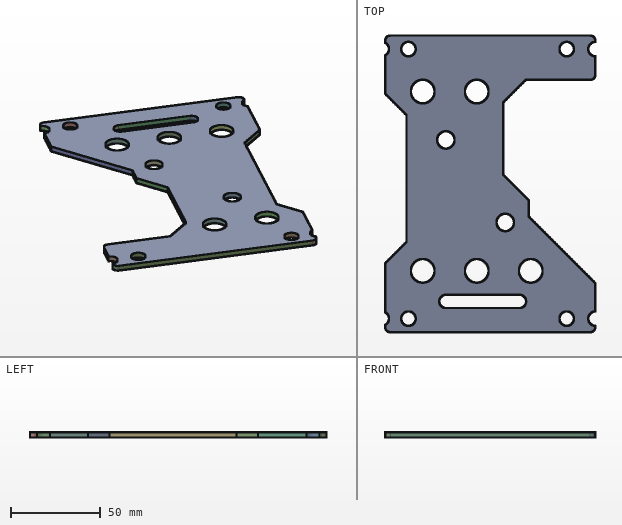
import cadquery as cq

width = 117.0
height = 165.0
thickness = 3.1
corner_radius = 3.0

waist_depth = 11.9
waist_bottom = 38.3
waist_top = 132.7

arm_bottom = 140.2
web_right = 65.8
arm_slope = 12.4
web_bottom = 87.5
step_right = 80.0
foot_right_top = 27.2

mount_diameter = 8.0
mount_left = 13.0
mount_pitch = 88.0
mount_inset = 7.6
left_notch_x = -1.8
right_notch_x = width

large_diameter = 13.0
large_left = 21.0
large_pitch = 30.0
large_lower_y = 34.2
large_upper_y = 133.8
lower_count = 3
upper_count = 2

medium_diameter = 9.5
medium_centers = [(33.8, 107.0), (66.8, 61.0)]

slot_length = 48.2
slot_height = 7.3
slot_center = (54.3, 17.2)


def prism(sketch):
    """Extrude a closed sketch through the plate thickness."""
    return sketch.extrude(thickness)


def cylinders(centers, diameter):
    """Through-cutting cylinders at the given centers."""
    return prism(cq.Workplane("XY").pushPoints(centers).circle(diameter / 2))


def plate_blank():
    """Plate outline with its outer corners rounded."""
    outline = [
        (0, 0),
        (width, 0),
        (width, foot_right_top),
        (step_right, foot_right_top + width - step_right),
        (step_right, web_bottom - (step_right - web_right)),
        (web_right, web_bottom),
        (web_right, arm_bottom - arm_slope),
        (web_right + arm_slope, arm_bottom),
        (width, arm_bottom),
        (width, height),
        (0, height),
        (0, waist_top),
        (waist_depth, waist_top - waist_depth),
        (waist_depth, waist_bottom + waist_depth),
        (0, waist_bottom),
    ]
    blank = prism(cq.Workplane("XY").polyline(outline).close())
    rounded_corners = [(0, 0), (width, 0), (width, arm_bottom), (width, height), (0, height)]
    for x, y in rounded_corners:
        corner = cq.selectors.NearestToPointSelector((x, y, thickness / 2))
        blank = blank.edges("|Z").edges(corner).fillet(corner_radius)
    return blank


def mounting_cuts():
    """Mounting holes and edge notches in the top and bottom rows."""
    columns = [left_notch_x, mount_left, mount_left + mount_pitch, right_notch_x]
    rows = [mount_inset, height - mount_inset]
    return cylinders([(x, y) for x in columns for y in rows], mount_diameter)


def large_row(count, y):
    """One row of evenly spaced large holes."""
    return cylinders([(large_left + i * large_pitch, y) for i in range(count)], large_diameter)


def slot():
    """Slot with fully round ends, lying along X."""
    return prism(cq.Workplane("XY").center(*slot_center).slot2D(slot_length, slot_height))


result = (
    plate_blank()
    .cut(mounting_cuts())
    .cut(large_row(lower_count, large_lower_y))
    .cut(large_row(upper_count, large_upper_y))
    .cut(cylinders(medium_centers, medium_diameter))
    .cut(slot())
)